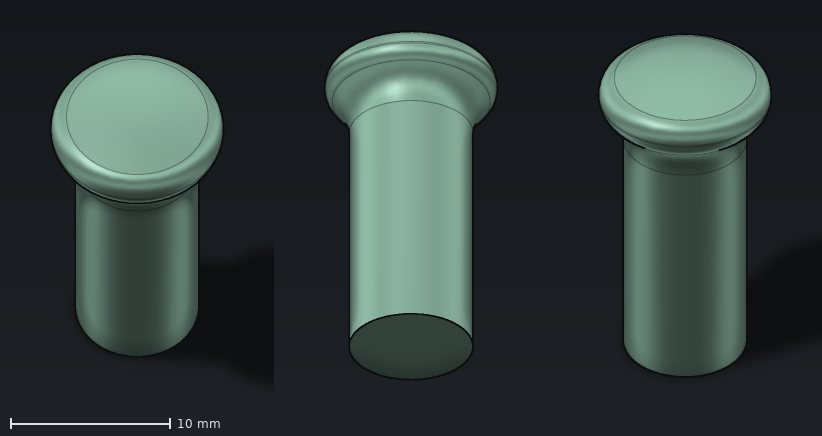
import cadquery as cq
import math

total_height = 21.0
shaft_radius = 7.8 / 2
head_radius = 10.88 / 2

flare_start_height = 15.83
flare_end_height = 18.19
rim_lower_height = 19.15
rim_upper_height = 19.25
crown_edge_height = 20.54

flare_end_radius = 4.95
crown_edge_radius = 4.45

flare_sag = 0.25


def elbow_point(start, end, sag):
    """Midpoint of an arc that bows by sag to the right of the chord from start to end."""
    run = end[0] - start[0]
    rise = end[1] - start[1]
    chord = math.hypot(run, rise)
    return (
        (start[0] + end[0]) / 2 + sag * rise / chord,
        (start[1] + end[1]) / 2 - sag * run / chord,
    )


def rim_sag(start, end, rim):
    """Sag of an arc from start to end that is vertical where it meets the rim."""
    far = start if end == rim else end
    inset = rim[0] - far[0]
    rise = abs(rim[1] - far[1])
    radius = (inset**2 + rise**2) / (2 * inset)
    half_chord = math.hypot(inset, rise) / 2
    return radius - math.sqrt(radius**2 - half_chord**2)


flare_start = (shaft_radius, flare_start_height)
flare_end = (flare_end_radius, flare_end_height)
rim_lower = (head_radius, rim_lower_height)
rim_upper = (head_radius, rim_upper_height)
crown_edge = (crown_edge_radius, crown_edge_height)
crown_top = (0, total_height)

crown_rise = total_height - crown_edge_height
crown_sphere_radius = (crown_edge_radius**2 + crown_rise**2) / (2 * crown_rise)
crown_half_chord = math.hypot(crown_edge_radius, crown_rise) / 2
crown_sag = crown_sphere_radius - math.sqrt(crown_sphere_radius**2 - crown_half_chord**2)

profile = (
    cq.Workplane("XZ")
    .lineTo(shaft_radius, 0)
    .lineTo(*flare_start)
    .threePointArc(elbow_point(flare_start, flare_end, -flare_sag), flare_end)
    .threePointArc(elbow_point(flare_end, rim_lower, rim_sag(flare_end, rim_lower, rim_lower)), rim_lower)
    .lineTo(*rim_upper)
    .threePointArc(elbow_point(rim_upper, crown_edge, rim_sag(rim_upper, crown_edge, rim_upper)), crown_edge)
    .threePointArc(elbow_point(crown_edge, crown_top, crown_sag), crown_top)
    .close()
)

result = profile.revolve(360, (0, 0, 0), (0, 1, 0))